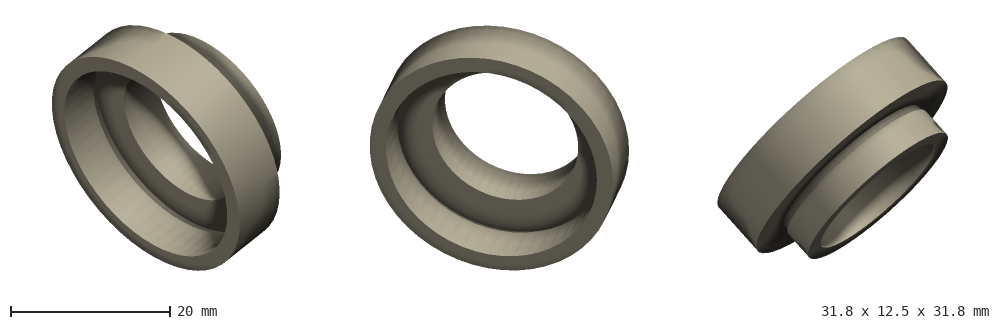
import cadquery as cq

flange_diameter = 31.75
spigot_diameter = 23.2
neck_diameter = 22.65
bore_diameter = 19.02
recess_diameter = 27.5

total_length = 12.5
spigot_length = 4.0
neck_length = 1.02
recess_depth = 6.5
undercut_diameter = 28.5
undercut_width = 1.02

flange_length = total_length - spigot_length - neck_length
front_y = -total_length / 2


def cylinder(diameter, start, length):
    """Solid cylinder along +Y, starting at a distance behind the front face."""
    base = cq.Workplane("XZ", origin=(0, front_y + start, 0))
    return base.circle(diameter / 2).extrude(-length)


flange = cylinder(flange_diameter, 0, flange_length)
neck = cylinder(neck_diameter, flange_length, neck_length)
spigot = cylinder(spigot_diameter, flange_length + neck_length, spigot_length)
recess = cylinder(recess_diameter, 0, recess_depth)
undercut = cylinder(undercut_diameter, recess_depth - undercut_width, undercut_width)
bore = cylinder(bore_diameter, 0, total_length)

result = flange.union(neck).union(spigot).cut(recess).cut(undercut).cut(bore)